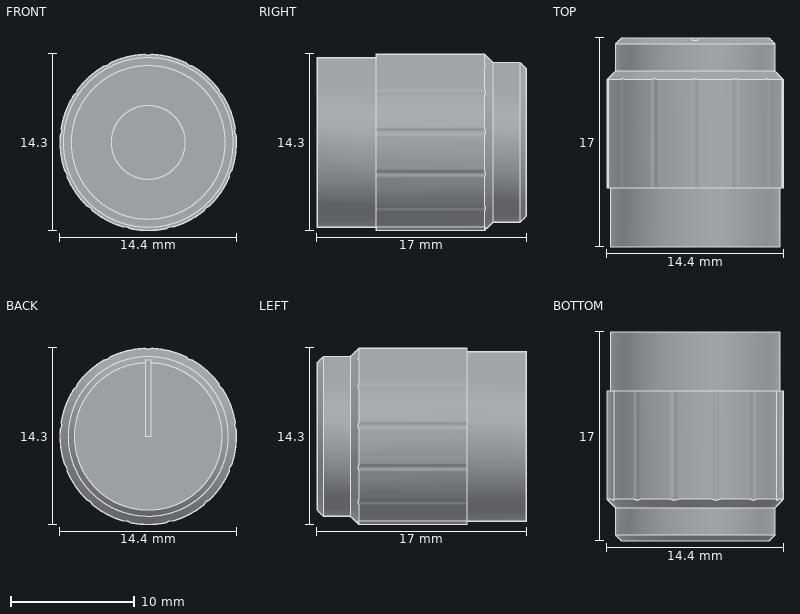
import cadquery as cq
import math

TOTAL_LENGTH = 17.0
SKIRT_LENGTH = 4.8
GRIP_LENGTH = 8.8
SHOULDER_LENGTH = 0.7
CAP_CHAMFER_LENGTH = 0.5

GRIP_RADIUS = 7.175
SKIRT_RADIUS = 6.9
CAP_RADIUS = 6.5
CAP_FACE_RADIUS = 6.0
BORE_RADIUS = 6.25
SHAFT_HOLE_RADIUS = 3.0

BORE_DEPTH = SKIRT_LENGTH
SHAFT_HOLE_DEPTH = 14.0

FLUTE_COUNT = 13
FLUTE_DEPTH = 0.08
FLUTE_WIDTH = 0.7
FLUTE_CORE_WIDTH = 0.32

POINTER_WIDTH = 0.45
POINTER_DEPTH = 0.2

GRIP_START = SKIRT_LENGTH
GRIP_END = GRIP_START + GRIP_LENGTH
SHOULDER_END = GRIP_END + SHOULDER_LENGTH
CAP_CHAMFER_START = TOTAL_LENGTH - CAP_CHAMFER_LENGTH


def make_body():
    """Revolve the stepped outside, the wide bore and the blind shaft hole."""
    profile = [
        (BORE_RADIUS, 0),
        (SKIRT_RADIUS, 0),
        (SKIRT_RADIUS, GRIP_START),
        (GRIP_RADIUS, GRIP_START),
        (GRIP_RADIUS, GRIP_END),
        (CAP_RADIUS, SHOULDER_END),
        (CAP_RADIUS, CAP_CHAMFER_START),
        (CAP_FACE_RADIUS, TOTAL_LENGTH),
        (0, TOTAL_LENGTH),
        (0, SHAFT_HOLE_DEPTH),
        (SHAFT_HOLE_RADIUS, SHAFT_HOLE_DEPTH),
        (SHAFT_HOLE_RADIUS, BORE_DEPTH),
        (BORE_RADIUS, BORE_DEPTH),
    ]
    return cq.Workplane("XY").polyline(profile).close().revolve(360, (0, 0, 0), (0, 1, 0))


def make_flute():
    """Cutter for the flute on the +Z side, open into the shoulder.

    A concave bottom arc runs tangentially into a convex lip arc on either side.
    """
    half_width = FLUTE_WIDTH / 2
    half_core = FLUTE_CORE_WIDTH / 2
    lip_height = math.sqrt(GRIP_RADIUS**2 - half_width**2)
    bottom_height = GRIP_RADIUS - FLUTE_DEPTH
    cutter_top = GRIP_RADIUS + FLUTE_DEPTH

    rise = lip_height - bottom_height
    core_rise = rise * half_core / half_width
    core_height = bottom_height + core_rise
    bottom_radius = (half_core**2 + core_rise**2) / (2 * core_rise)
    lip_radius = bottom_radius * (half_width - half_core) / half_core

    return (
        cq.Workplane("XZ", origin=(0, GRIP_START, 0))
        .moveTo(-half_width, cutter_top)
        .lineTo(-half_width, lip_height)
        .radiusArc((-half_core, core_height), lip_radius)
        .radiusArc((half_core, core_height), -bottom_radius)
        .radiusArc((half_width, lip_height), lip_radius)
        .lineTo(half_width, cutter_top)
        .close()
        .extrude(-(GRIP_LENGTH + SHOULDER_LENGTH))
    )


def cut_flutes(body):
    """Cut the flutes evenly around the grip, the first one on the +Z side."""
    flute = make_flute()
    for index in range(FLUTE_COUNT):
        angle = index * 360 / FLUTE_COUNT
        body = body.cut(flute.rotate((0, 0, 0), (0, 1, 0), angle))
    return body


def cut_pointer(body):
    """Cut the straight pointer groove into the closed end face."""
    groove = (
        cq.Workplane("XY")
        .box(POINTER_WIDTH, POINTER_DEPTH, CAP_RADIUS, centered=(True, False, False))
        .translate((0, TOTAL_LENGTH - POINTER_DEPTH, 0))
    )
    return body.cut(groove)


result = cut_pointer(cut_flutes(make_body()))